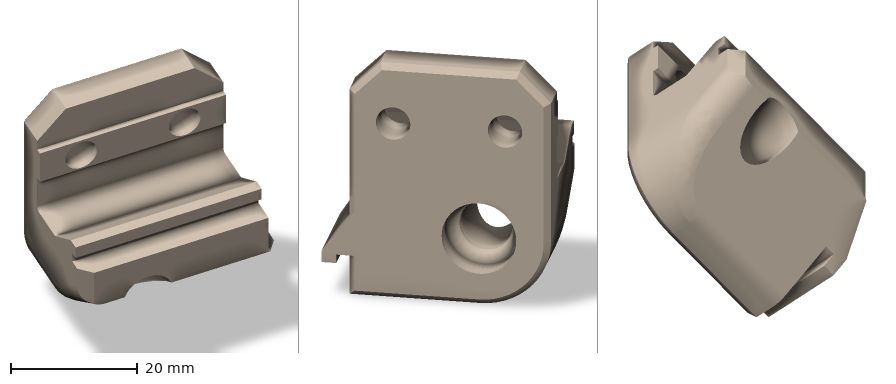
import cadquery as cq
import math

depth = 23.05
width = 32.4
height = 40.0
floor_z = 20.1

plate_thickness = 6.0
plate_corner = 5.0
corner_radius = 11.4
face_chamfer = 1.0
pad_thickness = 1.0
pad_bottom = 27.0
pad_height = 6.1
seat_fillet = 0.8

nose_height = 12.75
slope_start = 5.7
slope_fillet = 4.0
nose_chamfer = 2.0

ramp_start = 12.7
ramp_end = 18.6
rail_top = 24.2
rail_tip = 20.45
lip_bottom = 21.9
undercut_x = 19.15

hook_tip = 36.7
hook_root_top = 14.5
hook_tip_top = 7.4
hook_bottom = 5.5
hook_undercut = 6.9
hook_lip = 2.35

screw_diameter = 5.5
screw_inset = 7.2
screw_z = 30.0
bore_diameter = 8.5
counterbore_diameter = 12.0
counterbore_depth = 4.2


def extrude_along_y(points, length):
    """Extrude an XZ outline from Y = 0 toward +Y."""
    return cq.Workplane("XZ").polyline(points).close().extrude(-length)


def make_side_profile():
    """Plate, pad, seat, rail and sloped underside, over the full width."""
    pad_face = plate_thickness + pad_thickness
    pad_top = pad_bottom + pad_height
    body = extrude_along_y([
        (0, 0),
        (slope_start, 0),
        (depth, nose_height),
        (depth, floor_z),
        (undercut_x, floor_z),
        (undercut_x, lip_bottom),
        (rail_tip, lip_bottom),
        (rail_tip, rail_top),
        (ramp_end, rail_top),
        (ramp_start, floor_z),
        (plate_thickness, floor_z),
        (plate_thickness, pad_bottom),
        (pad_face, pad_bottom),
        (pad_face, pad_top),
        (plate_thickness, pad_top),
        (plate_thickness, height),
        (0, height),
    ], width)
    seat_corner = cq.selectors.NearestToPointSelector((plate_thickness, width / 2, floor_z))
    return body.edges(seat_corner).fillet(seat_fillet)


def make_face_outline():
    """Plate outline in YZ: two bevelled top corners and one rounded lower corner."""
    arc_offset = corner_radius * (1 - math.sqrt(0.5))
    return (
        cq.Workplane("YZ")
        .moveTo(corner_radius, 0)
        .lineTo(width, 0)
        .lineTo(width, height - plate_corner)
        .lineTo(width - plate_corner, height)
        .lineTo(plate_corner, height)
        .lineTo(0, height - plate_corner)
        .lineTo(0, corner_radius)
        .threePointArc((arc_offset, arc_offset), (corner_radius, 0))
        .close()
        .extrude(depth)
    )


def round_slope(body):
    """Round the rim of the sloped face along the base, corner and -Y side."""
    base_edge = cq.selectors.NearestToPointSelector(
        (slope_start, (corner_radius + width) / 2, 0)
    )
    corner_z = corner_radius * (1 - math.sqrt(0.5))
    run_per_rise = (depth - slope_start) / nose_height
    corner_edge = cq.selectors.NearestToPointSelector(
        (slope_start + corner_z * run_per_rise, corner_z, corner_z)
    )
    side_z = (corner_radius + nose_height) / 2
    side_edge = cq.selectors.NearestToPointSelector(
        (slope_start + side_z * run_per_rise, 0, side_z)
    )
    rim = body.edges(base_edge).add(body.edges(corner_edge)).add(body.edges(side_edge))
    return rim.fillet(slope_fillet)


def make_nose_cutter():
    """Triangular prism that bevels the outer vertical edge on the -Y side."""
    return (
        cq.Workplane("XY")
        .polyline([(depth - nose_chamfer, 0), (depth, 0), (depth, nose_chamfer)])
        .close()
        .extrude(height)
    )


def make_side_hook():
    """Hooked rail along X, trimmed by the plane of the sloped underside."""
    root_y = width - face_chamfer
    lip_y = hook_tip - hook_lip
    rail = (
        cq.Workplane("YZ")
        .polyline([
            (root_y, hook_undercut),
            (lip_y, hook_undercut),
            (lip_y, hook_bottom),
            (hook_tip, hook_bottom),
            (hook_tip, hook_tip_top),
            (root_y, hook_root_top),
        ])
        .close()
        .extrude(depth)
    )
    above_slope = extrude_along_y([
        (0, 0),
        (slope_start, 0),
        (depth, nose_height),
        (depth, floor_z),
        (0, floor_z),
    ], hook_tip)
    return rail.intersect(above_slope)


def make_screw_holes():
    return (
        cq.Workplane("YZ")
        .pushPoints([(screw_inset, screw_z), (width - screw_inset, screw_z)])
        .circle(screw_diameter / 2)
        .extrude(plate_thickness + pad_thickness)
    )


def make_main_bore():
    """Counterbore narrowing at 45 degrees to a through bore, centred on the round corner."""
    bore_radius = bore_diameter / 2
    counterbore_radius = counterbore_diameter / 2
    cone_end = counterbore_depth + counterbore_radius - bore_radius
    return (
        cq.Workplane("XY")
        .polyline([
            (0, 0),
            (0, counterbore_radius),
            (counterbore_depth, counterbore_radius),
            (cone_end, bore_radius),
            (depth, bore_radius),
            (depth, 0),
        ])
        .close()
        .revolve(360, (0, 0, 0), (1, 0, 0))
        .translate((0, corner_radius, corner_radius))
    )


body = make_side_profile().intersect(make_face_outline())
body = round_slope(body)
body = body.faces("<X").chamfer(face_chamfer)
body = body.cut(make_nose_cutter())
body = body.union(make_side_hook())
result = body.cut(make_screw_holes()).cut(make_main_bore())